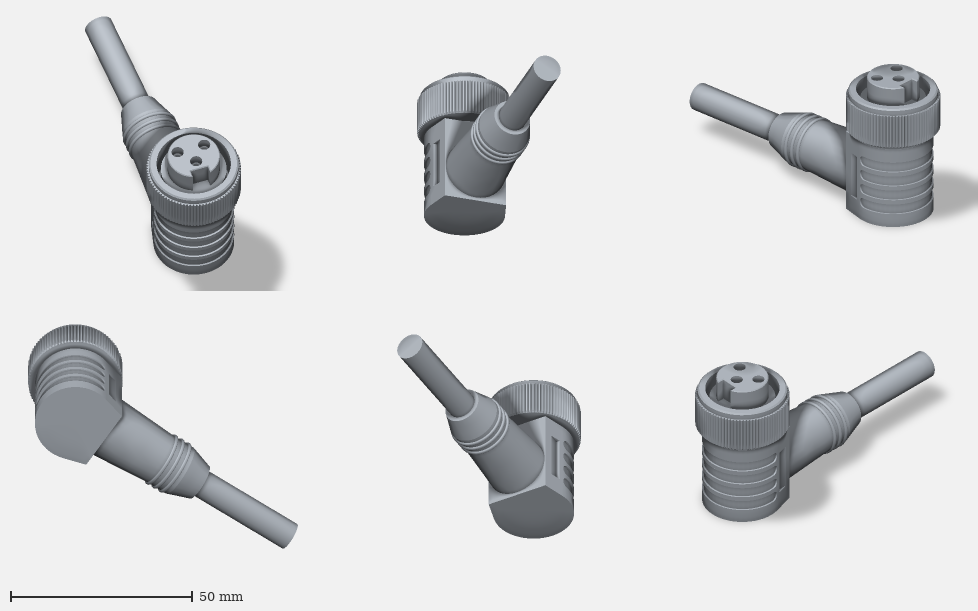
import cadquery as cq
import math


body_radius = 11.2
body_height = 24.3
body_back = -9.5
body_back_half_width = 8.9

groove_count = 4
groove_width = 3.0
groove_depth = 0.5
groove_pitch = 4.4
groove_first_z = 5.55
groove_start_x = -2.7

window_x_min = -7.1
window_x_max = -4.1
window_z_min = 5.3
window_z_max = 18.7
window_floor_y = 9.4

collar_radius = 7.9
nut_bottom = 25.5

nut_radius = 13.0
nut_chamfer = 0.4
nut_top = 37.5
nut_rim_radius = 12.35
nut_rim_chamfer = 0.4
nut_bore_radius = 10.25
nut_bore_floor = 27.7
knurl_top = 35.5
knurl_count = 90
knurl_root_radius = 12.4
knurl_tip_share = 0.3

flange_radius = 9.1
flange_top = 34.8
plug_radius = 7.2
plug_top = 41.3
plug_chamfer = 0.25
plug_twist = -3.0

key_width = 5.0
key_floor_x = 4.7
front_contact_x = 2.1
rear_contact_x = -2.4
rear_contact_y = 3.9
contact_hole_radius = 1.7
contact_hole_depth = 3.4
sleeve_radius = 1.35
sleeve_height = 0.8
socket_radius = 0.9
socket_depth = 1.3

cable_axis_z = 9.6
cable_end = -71.0
cable_radius = 3.95
boot_end = -41.1
boot_end_radius = 5.2
boot_taper_end = -34.5
boot_neck_end = -27.9
boot_neck_radius = 7.4
boot_root_radius = 8.65
ring_count = 3
ring_first_x = -32.85
ring_pitch = 2.2
ring_radius = 7.9
ring_width = 1.0
ring_fillet = 0.4


def cylinder(radius, z_min, z_max):
    return cq.Workplane("XY").workplane(offset=z_min).circle(radius).extrude(z_max - z_min)


def body_profile(inset):
    """Straight back, two flats tangent to a round front, all moved inwards by the inset."""
    radius = body_radius - inset
    corner_distance = math.hypot(body_back, body_back_half_width)
    corner_angle = math.atan2(body_back_half_width, body_back)
    tangent_angle = corner_angle - math.acos(body_radius / corner_distance)
    tangent_x = radius * math.cos(tangent_angle)
    tangent_y = radius * math.sin(tangent_angle)
    back_y = body_back_half_width - inset / math.sin(tangent_angle)
    return (
        cq.Workplane("XY")
        .moveTo(body_back, -back_y)
        .lineTo(tangent_x, -tangent_y)
        .threePointArc((radius, 0), (tangent_x, tangent_y))
        .lineTo(body_back, back_y)
        .close()
    )


def grip_grooves():
    """Slots seen from the side, each with a round end towards the cable."""
    slot_length = body_radius + groove_width - groove_start_x
    slots = (
        cq.Workplane("XZ")
        .pushPoints(
            [
                (groove_start_x + slot_length / 2, groove_first_z + i * groove_pitch)
                for i in range(groove_count)
            ]
        )
        .slot2D(slot_length, groove_width)
        .extrude(body_radius, both=True)
    )
    return slots.cut(body_profile(groove_depth).extrude(body_height))


def label_windows():
    windows = cq.Workplane("XY")
    for side in (-1, 1):
        window = cq.Workplane("XY").box(
            window_x_max - window_x_min,
            body_radius - window_floor_y,
            window_z_max - window_z_min,
            centered=False,
        )
        window = window.translate((window_x_min, window_floor_y, window_z_min))
        if side < 0:
            window = window.mirror("XZ")
        windows = windows.add(window)
    return windows.combine()


def angled_body():
    body = body_profile(0).extrude(body_height)
    return body.cut(grip_grooves()).cut(label_windows())


def knurl():
    """Ring of flat-topped teeth, chamfered around its lower edge."""
    pitch_angle = 2 * math.pi / knurl_count
    half_tip = pitch_angle * knurl_tip_share / 2
    outline = []
    for i in range(knurl_count):
        angle = i * pitch_angle
        for radius, offset in (
            (nut_radius, -half_tip),
            (nut_radius, half_tip),
            (knurl_root_radius, pitch_angle / 2),
        ):
            outline.append((radius * math.cos(angle + offset), radius * math.sin(angle + offset)))
    teeth = cq.Workplane("XY").workplane(offset=nut_bottom).polyline(outline).close()
    teeth = teeth.extrude(knurl_top - nut_bottom)
    envelope = cylinder(nut_radius, nut_bottom, knurl_top).faces("<Z").chamfer(nut_chamfer)
    return teeth.intersect(envelope)


def coupling_nut():
    rim = cylinder(nut_rim_radius, nut_bottom, nut_top).faces(">Z").chamfer(nut_rim_chamfer)
    return rim.union(knurl()).cut(cylinder(nut_bore_radius, nut_bore_floor, nut_top))


def contact_hole(x, y):
    """Round hole around a raised contact sleeve, which has a conical socket in its end."""
    hole_floor = plug_top - contact_hole_depth
    sleeve_top = hole_floor + sleeve_height
    profile = cq.Workplane("XZ").polyline(
        [
            (0, plug_top),
            (contact_hole_radius, plug_top),
            (contact_hole_radius, hole_floor),
            (sleeve_radius, hole_floor),
            (sleeve_radius, sleeve_top),
            (socket_radius, sleeve_top),
            (0, sleeve_top - socket_depth),
        ]
    )
    return profile.close().revolve(360, (0, 0), (0, 1)).translate((x, y, 0))


def plug():
    """Keyed plug with a chamfered end, standing on a flange and turned by its twist angle."""
    insert = cylinder(plug_radius, flange_top, plug_top)
    keyway = cq.Workplane("XY").box(
        plug_radius, key_width, plug_top - flange_top, centered=(False, True, False)
    )
    insert = insert.cut(keyway.translate((key_floor_x, 0, flange_top)))
    insert = insert.faces(">Z").chamfer(plug_chamfer)
    insert = insert.union(cylinder(flange_radius, nut_bore_floor, flange_top))
    for x, y in (
        (front_contact_x, 0),
        (rear_contact_x, rear_contact_y),
        (rear_contact_x, -rear_contact_y),
    ):
        insert = insert.cut(contact_hole(x, y))
    return insert.rotate((0, 0, 0), (0, 0, 1), plug_twist)


def cable_and_boot():
    """Turned around the cable axis; the boot has raised, rounded rings on its neck."""
    profile = (
        cq.Workplane("XZ")
        .moveTo(cable_end, 0)
        .lineTo(cable_end, cable_radius)
        .lineTo(boot_end, cable_radius)
        .lineTo(boot_end, boot_end_radius)
        .lineTo(boot_taper_end, boot_neck_radius)
    )
    for i in range(ring_count):
        ring_x = ring_first_x + i * ring_pitch
        ring_start = ring_x - ring_width / 2
        ring_stop = ring_x + ring_width / 2
        fillet_base = ring_radius - ring_fillet
        profile = (
            profile.lineTo(ring_start, boot_neck_radius)
            .lineTo(ring_start, fillet_base)
            .radiusArc((ring_start + ring_fillet, ring_radius), ring_fillet)
            .lineTo(ring_stop - ring_fillet, ring_radius)
            .radiusArc((ring_stop, fillet_base), ring_fillet)
            .lineTo(ring_stop, boot_neck_radius)
        )
    profile = (
        profile.lineTo(boot_neck_end, boot_neck_radius)
        .lineTo(body_back, boot_root_radius)
        .lineTo(0, boot_root_radius)
        .lineTo(0, 0)
        .close()
    )
    return profile.revolve(360, (0, 0), (1, 0)).translate((0, 0, cable_axis_z))


collar = cylinder(collar_radius, body_height, nut_bottom)
result = angled_body().union(cable_and_boot()).union(collar).union(coupling_nut()).union(plug())